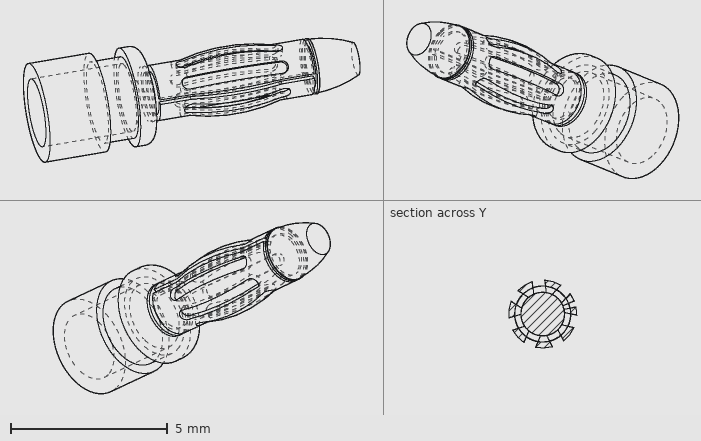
import cadquery as cq
import math

length = 10.55

body_diameter = 3.2
body_radius = body_diameter / 2
body_length = 2.0
neck_radius = 1.32
flange_start = 3.0
flange_end = 3.6
flange_round = 0.3
collar_radius = 0.9
collar_end = 3.7

cup_radius = 1.1
cup_depth = flange_start
cup_point_angle = 120.0

core_radius = 0.7
tip_start = 9.04
tip_lip_end = 9.12
tip_lip_radius = collar_radius
tip_base_radius = 0.88
tip_mid_radius = 0.78
tip_end_radius = 0.53

sleeve_radius = collar_radius
sleeve_start = 3.85
sleeve_end = 8.95
bulge_radius = 1.1
bulge_length = 3.0
sleeve_middle = (sleeve_start + sleeve_end) / 2
sleeve_wall = sleeve_radius - core_radius
cutter_reach = 2 * bulge_radius

slot_count = 7
slot_pitch = 50.0
slot_length = 3.5
slot_width = 0.4

gap_angle = 360.0 - slot_count * slot_pitch
gap_centre_angle = 72.7
first_slot_angle = gap_centre_angle + (gap_angle + slot_pitch) / 2


def revolve_about_y(profile):
    return profile.close().revolve(360, (0, 0, 0), (0, 1, 0))


def make_core():
    """Body, neck, flange, collar, core pin and rounded tip as one turned piece."""
    round_inset = flange_round * (1 - math.sqrt(0.5))
    return revolve_about_y(
        cq.Workplane("XY")
        .moveTo(0, 0)
        .lineTo(body_radius, 0)
        .lineTo(body_radius, body_length)
        .lineTo(neck_radius, body_length)
        .lineTo(neck_radius, flange_start)
        .lineTo(body_radius, flange_start)
        .lineTo(body_radius, flange_end - flange_round)
        .threePointArc(
            (body_radius - round_inset, flange_end - round_inset),
            (body_radius - flange_round, flange_end),
        )
        .lineTo(collar_radius, flange_end)
        .lineTo(collar_radius, collar_end)
        .lineTo(core_radius, collar_end)
        .lineTo(core_radius, tip_start)
        .lineTo(tip_lip_radius, tip_start)
        .lineTo(tip_lip_radius, tip_lip_end)
        .lineTo(tip_base_radius, tip_lip_end)
        .threePointArc((tip_mid_radius, (tip_lip_end + length) / 2), (tip_end_radius, length))
        .lineTo(0, length)
    )


def make_cup():
    """Drilled hole with a conical bottom."""
    cone_height = cup_radius / math.tan(math.radians(cup_point_angle / 2))
    return revolve_about_y(
        cq.Workplane("XY")
        .moveTo(0, 0)
        .lineTo(cup_radius, 0)
        .lineTo(cup_radius, cup_depth)
        .lineTo(0, cup_depth + cone_height)
    )


def make_sleeve():
    """Thin tube whose middle bulges away from the core."""
    bulge_start = sleeve_middle - bulge_length / 2
    bulge_end = sleeve_middle + bulge_length / 2
    return revolve_about_y(
        cq.Workplane("XY")
        .moveTo(core_radius, sleeve_start)
        .lineTo(sleeve_radius, sleeve_start)
        .lineTo(sleeve_radius, bulge_start)
        .threePointArc((bulge_radius, sleeve_middle), (sleeve_radius, bulge_end))
        .lineTo(sleeve_radius, sleeve_end)
        .lineTo(core_radius, sleeve_end)
        .lineTo(core_radius, bulge_end)
        .threePointArc((bulge_radius - sleeve_wall, sleeve_middle), (core_radius, bulge_start))
    )


def make_slot(angle):
    """Round-ended cutter pointing outwards at the given angle around Y."""
    return (
        cq.Workplane("XY")
        .center(0, sleeve_middle)
        .slot2D(slot_length, slot_width, 90)
        .extrude(cutter_reach)
        .rotate((0, 0, 0), (0, 1, 0), angle)
    )


def make_gap():
    """Wedge that leaves the rolled sleeve open along its whole length."""
    half_width = cutter_reach * math.tan(math.radians(gap_angle / 2))
    return (
        cq.Workplane("XZ")
        .polyline([(0, 0), (half_width, cutter_reach), (-half_width, cutter_reach)])
        .close()
        .extrude(-length)
        .rotate((0, 0, 0), (0, 1, 0), gap_centre_angle)
    )


sleeve = make_sleeve().cut(make_gap())
for index in range(slot_count):
    sleeve = sleeve.cut(make_slot(first_slot_angle + index * slot_pitch))

result = make_core().cut(make_cup()).union(sleeve)